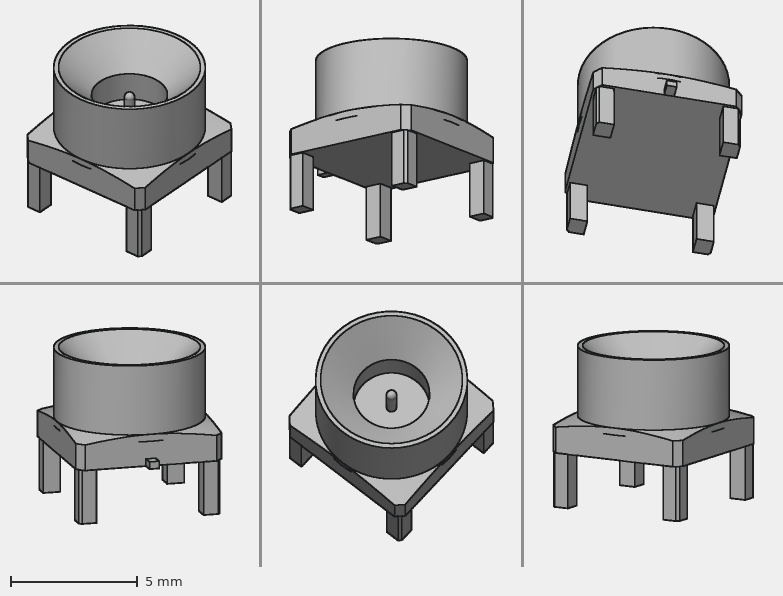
import cadquery as cq

base_side = 6.0
base_half = base_side / 2
base_chamfer = 0.3
base_crest_z = 1.29
base_corner_z = 1.045
corner_radius = (base_half - base_chamfer / 2) * 2 ** 0.5

wall_clearance = 0.003
shell_radius = base_half - wall_clearance
shell_bottom_z = 1.0
shell_top_z = 4.1
mouth_radius = 2.8
bore_radius = 1.5
bore_top_z = 2.8

insulator_top_z = 1.6
pin_radius = 0.2
pin_top_z = 2.9

leg_length = 2.2
leg_side = 0.7
leg_inset = 0.1
leg_chamfer = base_chamfer - 2 * leg_inset
leg_centre = base_half - leg_inset - leg_side / 2

tail_width = 2 * pin_radius
tail_length = 0.5
tail_height = 0.3


def make_base():
    """Chamfered square plate with a conical top and a round recess for the shell."""
    plate = (
        cq.Workplane("XY")
        .rect(base_side, base_side)
        .extrude(base_crest_z)
        .edges("|Z")
        .chamfer(base_chamfer)
    )
    slope = (base_crest_z - base_corner_z) / (corner_radius - base_half)
    cone_radius = base_side
    cone_edge_z = base_crest_z - slope * (cone_radius - base_half)
    cone = (
        cq.Workplane("XZ")
        .polyline([
            (0, 0),
            (cone_radius, 0),
            (cone_radius, cone_edge_z),
            (base_half, base_crest_z),
            (0, base_crest_z),
        ])
        .close()
        .revolve(360, (0, 0), (0, 1))
    )
    recess = cylinder(shell_radius, shell_bottom_z, shell_top_z)
    return plate.intersect(cone).cut(recess)


def cylinder(radius, bottom_z, top_z):
    """Upright cylinder on the Z axis."""
    return cq.Workplane("XY", origin=(0, 0, bottom_z)).circle(radius).extrude(top_z - bottom_z)


def make_shell():
    """Round shell with a conical mouth leading into a straight bore."""
    return (
        cq.Workplane("XZ")
        .polyline([
            (bore_radius, shell_bottom_z),
            (shell_radius, shell_bottom_z),
            (shell_radius, shell_top_z),
            (mouth_radius, shell_top_z),
            (bore_radius, bore_top_z),
        ])
        .close()
        .revolve(360, (0, 0), (0, 1))
    )


def make_insulator():
    """Disc that fills the bottom of the bore and holds the pin."""
    disc = cylinder(bore_radius, shell_bottom_z, insulator_top_z)
    pin_hole = cylinder(pin_radius, shell_bottom_z, insulator_top_z)
    return disc.cut(pin_hole)


def make_pin():
    """Round pin with a hemispherical tip."""
    tip_centre_z = pin_top_z - pin_radius
    shaft = cylinder(pin_radius, shell_bottom_z, tip_centre_z)
    tip = cq.Workplane("XY", origin=(0, 0, tip_centre_z)).sphere(pin_radius)
    return shaft.union(tip)


def make_leg(x_side, y_side):
    """Square leg at one corner, with its outermost edge chamfered."""
    outer_edge = "|Z and " + (">X" if x_side > 0 else "<X") + " and " + (">Y" if y_side > 0 else "<Y")
    return (
        cq.Workplane("XY")
        .rect(leg_side, leg_side)
        .extrude(-leg_length)
        .edges(outer_edge)
        .chamfer(leg_chamfer)
        .translate((x_side * leg_centre, y_side * leg_centre, 0))
    )


def make_tail():
    """Flat contact tail standing out from the +Y side, level with the underside."""
    return (
        cq.Workplane("XY")
        .box(tail_width, tail_length, tail_height, centered=(True, False, False))
        .translate((0, base_half, 0))
    )


base = make_base()
shell = make_shell()
insulator = make_insulator()
pin = make_pin()
tail = make_tail()
legs = [make_leg(x_side, y_side) for x_side in (-1, 1) for y_side in (-1, 1)]

result = cq.Compound.makeCompound([
    base.val(),
    shell.val(),
    insulator.val(),
    pin.val(),
    tail.val(),
    *[leg.val() for leg in legs],
])